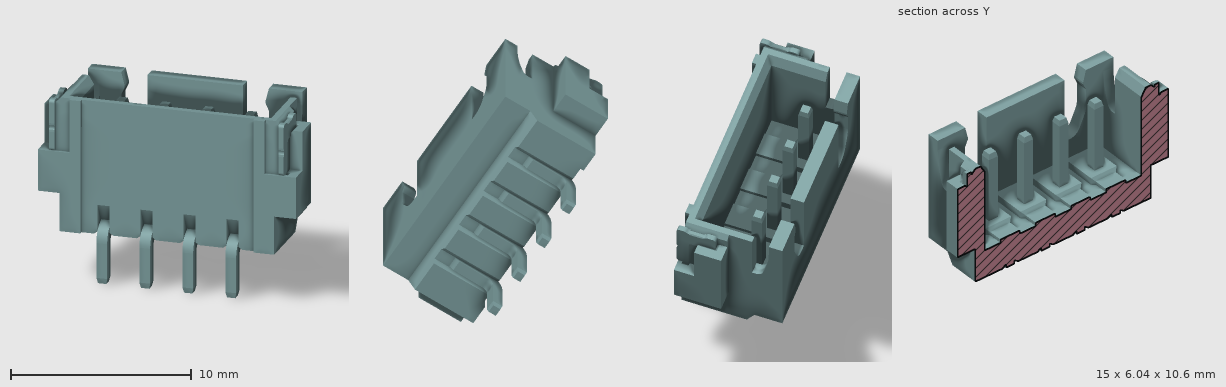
import cadquery as cq


BODY_HALF = 6.24
BODY_BACK = 5.94
BODY_TOP = 7.8
REAR_BOTTOM = 0.69
UNDERCUT_REAR = 4.29
UNDERCUT_FRONT = 3.84
FRONT_RECESS = 0.25
RECESS_DRAFT = 0.05
RECESS_HALF = 5.02
CORNER_HALF = 5.67

CAVITY_HALF = 5.55
CAVITY_FRONT = 0.96
CAVITY_BACK = 5.15
CAVITY_FLOOR = 1.88
LEAD_IN = 0.32
LEAD_IN_DEPTH = 0.52

SIDE_NOTCH_FRONT = 4.15
SIDE_NOTCH_FLOOR = 4.78
SIDE_CURVE_TOP = 7.14
SIDE_CURVE_END = (4.82, 5.18)
SIDE_FILLET_START = (4.78, 5.08)
SIDE_FILLET_END = 4.34
REAR_NOTCH_IN = 2.78
REAR_FLAT_END = 3.1
REAR_NOTCH_OUT = 4.29
REAR_NOTCH_FLOOR = 3.57
REAR_CURVE_TOP = 5.28
REAR_CURVE_END = (4.15, 4.71)
REAR_FILLET_START = (3.84, 4.04)
BUMP = 0.2
BUMP_UPPER = 7.04
BUMP_LOWER = 6.9
BUMP_END = 6.48

EAR_HALF = 7.5
EAR_BACK = 2.79
EAR_BOTTOM = 2.25
EAR_TOP = 6.98
STEP_BACK = 1.2
STEP_Z = 4.68
RIB_HALF = 6.51
SLOT_BEVEL = 0.14

TAB_OUT = 6.82
TAB_FRONT = -0.09
TAB_BACK = 2.2
TAB_TOP = 7.71
TAB_DIP = 0.12
TAB_LEG_BACK = 0.66
TAB_LEG_TOP = 6.62
RELIEF_DEPTH = 0.05
RELIEF_BEVEL = 0.03
TAB_FOOT_FRONT = 0.25
TAB_FOOT_Z = 4.72
TAB_FOOT_RISE = 0.18
TAB_BEVEL = 0.06
TAB_ROUND = 0.18
DIP_RISE_FRONT = 0.32
DIP_FRONT = 0.65
DIP_BACK = 1.45
DIP_RISE_BACK = 1.78
GROOVE_DEPTH = 0.06
GROOVE_LIP = 0.02
GROOVE_TOP = 6.35
GROOVE_BOTTOM = 5.84
GROOVE_SLOPE = 0.14

PIN_COUNT = 4
PIN_ROW = 7.5
PITCH = PIN_ROW / (PIN_COUNT - 1)
PIN_WIDTH = 0.63
PIN_Y = 3.63
PIN_TOP = 6.84
PIN_BOTTOM = -2.8
TAIL_FRONT = -0.1
TAIL_THICKNESS = 0.62
BEND_INSIDE = 0.33
BAR_BOTTOM = -0.09
BAR_TOP = 0.66
BAR_EXIT = 2.72
TIP_LENGTH = 0.33
TIP_INSET = 0.08

WINDOW_WIDTH = 0.69
WINDOW_TOP = 1.71
WINDOW_BACK = 0.82
FLARE_HALF = 0.55
FLARE_HEIGHT = 0.15
BASE_HALF = 0.92
LANE_HALF = 0.7
BASE_FRONT = 2.9
SLOPE_FRONT = 2.72
BASE_HEIGHT = 0.45
LANE_HEIGHT = 0.22

PIN_XS = [(i - (PIN_COUNT - 1) / 2) * PITCH for i in range(PIN_COUNT)]


def box(x0, x1, y0, y1, z0, z1):
    return cq.Workplane("XY").box(x1 - x0, y1 - y0, z1 - z0, centered=False).translate((x0, y0, z0))


def side_profile(outline, x0, x1):
    """Extrude a (Y, Z) outline between two X positions."""
    return outline.close().extrude(x1 - x0).translate((x0, 0, 0))


def both_sides(shape):
    return shape.union(shape.mirror("YZ"))


def frustum(bottom, bottom_z, top, top_z):
    """Loft between two rectangles, each given as (x0, x1, y0, y1)."""
    def section(rect, z):
        x0, x1, y0, y1 = rect
        points = [(x0, y0, z), (x1, y0, z), (x1, y1, z), (x0, y1, z)]
        return cq.Wire.makePolygon([cq.Vector(*point) for point in points], close=True)

    loft = cq.Solid.makeLoft([section(bottom, bottom_z), section(top, top_z)], True)
    return cq.Workplane("XY").newObject([loft])


def pin_tip(x, y, depth, tip_z, base_z):
    """Tapered end of a pin, from its full section at base_z to the inset end at tip_z."""
    half_w = PIN_WIDTH / 2
    half_d = depth / 2
    full = (x - half_w, x + half_w, y - half_d, y + half_d)
    small = (full[0] + TIP_INSET, full[1] - TIP_INSET, full[2] + TIP_INSET, full[3] - TIP_INSET)
    if tip_z > base_z:
        return frustum(full, base_z, small, tip_z)
    return frustum(small, tip_z, full, base_z)


def front_relief(x0, x1, z0):
    """Cutter for a front recess that runs up to the top, its floor leaning slightly back."""
    outline = cq.Workplane("YZ").polyline([
        (0, z0),
        (FRONT_RECESS - RECESS_DRAFT, z0),
        (FRONT_RECESS, BODY_TOP),
        (0, BODY_TOP),
    ])
    return side_profile(outline, x0, x1)


def shell():
    outline = cq.Workplane("YZ").polyline([
        (0, 0),
        (UNDERCUT_FRONT, 0),
        (UNDERCUT_REAR, REAR_BOTTOM),
        (BODY_BACK, REAR_BOTTOM),
        (BODY_BACK, BODY_TOP),
        (0, BODY_TOP),
    ])
    body = side_profile(outline, -BODY_HALF, BODY_HALF)
    return body.cut(front_relief(-RECESS_HALF, RECESS_HALF, 0))


def left_ear():
    ear = box(-EAR_HALF, -BODY_HALF, 0, EAR_BACK, EAR_BOTTOM, EAR_TOP)
    ear = ear.cut(box(-EAR_HALF, -RIB_HALF, 0, STEP_BACK, STEP_Z, EAR_TOP))
    rib = cq.Workplane("XZ").polyline([
        (-RIB_HALF, EAR_TOP),
        (-RIB_HALF, BODY_TOP - (RIB_HALF - BODY_HALF)),
        (-BODY_HALF, BODY_TOP),
        (-BODY_HALF, EAR_TOP),
    ]).close().extrude(-EAR_BACK)
    return ear.union(rib)


def left_slot_bevels():
    """Bevelled lips around the solder tab, at the ear top and on the ear step."""

    def lip(z, y_front, y_back, back_bevel):
        lower = (-TAB_OUT, -RIB_HALF, y_front, y_back)
        upper = (-TAB_OUT - SLOT_BEVEL, -RIB_HALF, y_front, y_back + back_bevel)
        return frustum(lower, z - SLOT_BEVEL, upper, z)

    ear_lip = lip(EAR_TOP, STEP_BACK, TAB_BACK, SLOT_BEVEL)
    step_lip = lip(STEP_Z, FRONT_RECESS, TAB_LEG_BACK, 0)
    return ear_lip.union(step_lip)


def cavity():
    straight = box(-CAVITY_HALF, CAVITY_HALF, CAVITY_FRONT, CAVITY_BACK, CAVITY_FLOOR, BODY_TOP)
    lower = (-CAVITY_HALF, CAVITY_HALF, CAVITY_FRONT, SIDE_NOTCH_FRONT)
    mouth_half = CAVITY_HALF + LEAD_IN
    upper = (-mouth_half, mouth_half, CAVITY_FRONT - LEAD_IN, SIDE_NOTCH_FRONT)
    return straight.union(frustum(lower, BODY_TOP - LEAD_IN_DEPTH, upper, BODY_TOP))


def side_notches():
    outline = (
        cq.Workplane("YZ")
        .moveTo(SIDE_NOTCH_FRONT, BODY_TOP)
        .lineTo(CAVITY_BACK, BODY_TOP)
        .lineTo(CAVITY_BACK, SIDE_CURVE_TOP)
        .tangentArcPoint(SIDE_CURVE_END, relative=False)
        .lineTo(*SIDE_FILLET_START)
        .tangentArcPoint((SIDE_FILLET_END, SIDE_NOTCH_FLOOR), relative=False)
        .lineTo(SIDE_NOTCH_FRONT, SIDE_NOTCH_FLOOR)
    )
    return side_profile(outline, -BODY_HALF, BODY_HALF)


def rear_notches():
    """Slots that free two latch posts, each post with a small snap bump near its top."""
    right = (
        cq.Workplane("XZ")
        .moveTo(REAR_NOTCH_IN, BODY_TOP)
        .lineTo(REAR_NOTCH_OUT, BODY_TOP)
        .lineTo(REAR_NOTCH_OUT - BUMP, BUMP_UPPER)
        .lineTo(REAR_NOTCH_OUT - BUMP, BUMP_LOWER)
        .lineTo(REAR_NOTCH_OUT, BUMP_END)
        .lineTo(REAR_NOTCH_OUT, REAR_CURVE_TOP)
        .tangentArcPoint(REAR_CURVE_END, relative=False)
        .lineTo(*REAR_FILLET_START)
        .tangentArcPoint((REAR_FLAT_END, REAR_NOTCH_FLOOR), relative=False)
        .lineTo(REAR_NOTCH_IN, REAR_NOTCH_FLOOR)
        .close()
        .extrude(-(BODY_BACK - CAVITY_BACK))
        .translate((0, CAVITY_BACK, 0))
    )
    return both_sides(right)


def pin_base(x):
    """Raised cavity floor around a pin, stepping down a slope to a narrower lane in front."""
    top = CAVITY_FLOOR + BASE_HEIGHT
    lane_top = CAVITY_FLOOR + LANE_HEIGHT
    plan = cq.Workplane("XY").polyline([
        (-BASE_HALF, CAVITY_BACK),
        (-BASE_HALF, BASE_FRONT),
        (-LANE_HALF, SLOPE_FRONT),
        (-LANE_HALF, CAVITY_FRONT),
        (LANE_HALF, CAVITY_FRONT),
        (LANE_HALF, SLOPE_FRONT),
        (BASE_HALF, BASE_FRONT),
        (BASE_HALF, CAVITY_BACK),
    ]).close().extrude(BASE_HEIGHT).translate((0, 0, CAVITY_FLOOR))
    above_lane = cq.Workplane("YZ").polyline([
        (CAVITY_FRONT, lane_top),
        (SLOPE_FRONT, lane_top),
        (BASE_FRONT, top),
        (CAVITY_FRONT, top),
    ])
    base = plan.cut(side_profile(above_lane, -BASE_HALF, BASE_HALF))
    return base.translate((x, 0, 0))


def pin_exit(x):
    """Front window with a sloping roof and a flared mouth at the housing bottom."""
    roof = cq.Workplane("YZ").polyline([
        (0, 0),
        (0, WINDOW_TOP),
        (FRONT_RECESS, WINDOW_TOP),
        (WINDOW_BACK, BAR_TOP),
        (WINDOW_BACK, 0),
    ])
    half = WINDOW_WIDTH / 2
    flare = cq.Workplane("XZ").polyline([
        (-FLARE_HALF, 0),
        (-half, FLARE_HEIGHT),
        (half, FLARE_HEIGHT),
        (FLARE_HALF, 0),
    ]).close().extrude(-UNDERCUT_REAR)
    return side_profile(roof, -half, half).union(flare).translate((x, 0, 0))


def pin(x):
    half = PIN_WIDTH / 2
    post_front = PIN_Y - half
    tail_back = TAIL_FRONT + TAIL_THICKNESS
    bend_z = BAR_BOTTOM - BEND_INSIDE
    bend_outside = BAR_TOP - bend_z
    tail_end = PIN_BOTTOM + TIP_LENGTH
    outline = (
        cq.Workplane("YZ")
        .moveTo(TAIL_FRONT, tail_end)
        .lineTo(TAIL_FRONT, bend_z)
        .radiusArc((TAIL_FRONT + bend_outside, BAR_TOP), bend_outside)
        .lineTo(post_front, BAR_TOP)
        .lineTo(post_front, PIN_TOP - TIP_LENGTH)
        .lineTo(PIN_Y + half, PIN_TOP - TIP_LENGTH)
        .lineTo(PIN_Y + half, BAR_TOP)
        .lineTo(BAR_EXIT, 0)
        .lineTo(tail_back + BEND_INSIDE, BAR_BOTTOM)
        .radiusArc((tail_back, bend_z), -BEND_INSIDE)
        .lineTo(tail_back, tail_end)
    )
    body = side_profile(outline, x - half, x + half)
    upper = pin_tip(x, PIN_Y, PIN_WIDTH, PIN_TOP, PIN_TOP - TIP_LENGTH)
    lower = pin_tip(x, (TAIL_FRONT + tail_back) / 2, TAIL_THICKNESS, PIN_BOTTOM, tail_end)
    return body.union(upper).union(lower)


def left_tab():
    """Solder tab: an upright plate let into the ear, thinned on its outer face behind a front leg."""
    tab_bottom = STEP_Z - SLOT_BEVEL
    groove_lip = TAB_FRONT + GROOVE_LIP
    groove_middle = (GROOVE_BOTTOM + GROOVE_TOP) / 2
    dip_z = TAB_TOP - TAB_DIP
    dip_front_mid = (DIP_RISE_FRONT + DIP_FRONT) / 2
    dip_back_mid = (DIP_BACK + DIP_RISE_BACK) / 2
    outline = (
        cq.Workplane("YZ")
        .moveTo(TAB_FOOT_FRONT, tab_bottom)
        .lineTo(TAB_FOOT_FRONT, TAB_FOOT_Z)
        .lineTo(TAB_FRONT + TAB_FOOT_RISE, TAB_FOOT_Z)
        .radiusArc((TAB_FRONT, TAB_FOOT_Z + TAB_FOOT_RISE), TAB_FOOT_RISE)
        .lineTo(TAB_FRONT, GROOVE_BOTTOM)
        .lineTo(groove_lip, GROOVE_BOTTOM + GROOVE_SLOPE)
        .threePointArc((TAB_FRONT + GROOVE_DEPTH, groove_middle), (groove_lip, GROOVE_TOP - GROOVE_SLOPE))
        .lineTo(TAB_FRONT, GROOVE_TOP)
        .lineTo(TAB_FRONT, TAB_TOP - TAB_ROUND)
        .radiusArc((TAB_FRONT + TAB_ROUND, TAB_TOP), TAB_ROUND)
        .lineTo(DIP_RISE_FRONT, TAB_TOP)
        .tangentArcPoint((dip_front_mid, (TAB_TOP + dip_z) / 2), relative=False)
        .tangentArcPoint((DIP_FRONT, dip_z), relative=False)
        .lineTo(DIP_BACK, dip_z)
        .tangentArcPoint((dip_back_mid, (TAB_TOP + dip_z) / 2), relative=False)
        .tangentArcPoint((DIP_RISE_BACK, TAB_TOP), relative=False)
        .lineTo(TAB_BACK - TAB_ROUND, TAB_TOP)
        .radiusArc((TAB_BACK, TAB_TOP - TAB_ROUND), TAB_ROUND)
        .lineTo(TAB_BACK, tab_bottom)
    )
    tab = side_profile(outline, -TAB_OUT, -RIB_HALF)
    for edge_x, inward in ((-TAB_OUT, TAB_BEVEL), (-RIB_HALF, -TAB_BEVEL)):
        bevel = cq.Workplane("XZ").polyline([
            (edge_x, dip_z),
            (edge_x + inward, dip_z),
            (edge_x, dip_z - TAB_BEVEL),
        ]).close().extrude(DIP_FRONT - DIP_BACK).translate((0, DIP_FRONT, 0))
        tab = tab.cut(bevel)
    relief = box(-TAB_OUT, -TAB_OUT + RELIEF_DEPTH, TAB_LEG_BACK, TAB_BACK, tab_bottom, TAB_LEG_TOP)
    relief = relief.edges("|X and >Z and <Y").fillet(TAB_ROUND)
    tab = tab.cut(relief)
    leg_edge = cq.selectors.NearestToPointSelector((-TAB_OUT, TAB_LEG_BACK, (tab_bottom + TAB_LEG_TOP) / 2))
    return tab.edges(leg_edge).chamfer(RELIEF_BEVEL)


housing = shell().union(both_sides(left_ear()))
corner = front_relief(-EAR_HALF, -CORNER_HALF, STEP_Z)
housing = housing.cut(both_sides(corner)).cut(both_sides(left_slot_bevels()))
housing = housing.cut(cavity()).cut(side_notches()).cut(rear_notches())
for pin_x in PIN_XS:
    housing = housing.cut(pin_exit(pin_x)).union(pin_base(pin_x))

result = housing.union(both_sides(left_tab()))
for pin_x in PIN_XS:
    result = result.union(pin(pin_x))